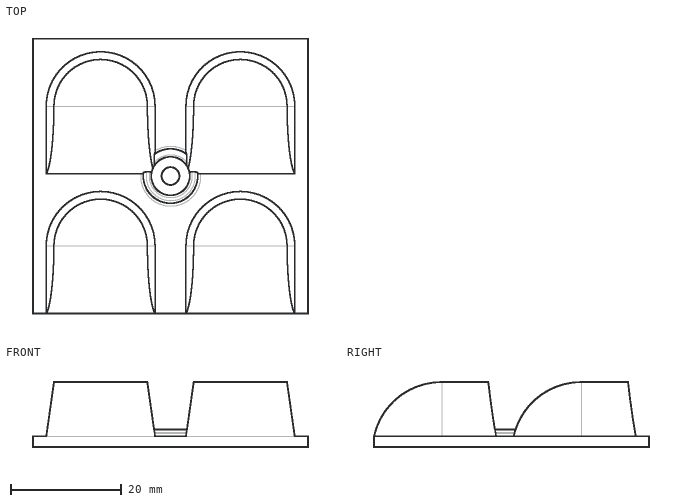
import cadquery as cq
import math

plate_side = 50.0
plate_thickness = 2.0
total_height = 11.85

block_pitch = 25.4
block_base_radius = 9.9
block_top_radius = 8.5
block_front_length = 12.3
block_height = total_height - plate_thickness

collar_outer_radius = 4.95
collar_inner_radius = 3.5
collar_height = 1.25
collar_round = 0.5
collar_inner_round = 0.4
hole_diameter = 3.2


def make_rounded_back():
    """Tapered round end of a block, kept only on the +Y side of its axis."""
    cone = (
        cq.Workplane("XY")
        .circle(block_base_radius)
        .workplane(offset=block_height)
        .circle(block_top_radius)
        .loft(ruled=True)
    )
    keep = cq.Workplane("XY").box(
        2 * block_base_radius, block_base_radius, block_height, centered=(True, False, False)
    )
    return cone.intersect(keep)


def make_curved_front():
    """Drafted front of a block whose top curves down to the plate on the -Y side."""
    drafted_sides = (
        cq.Workplane("XZ")
        .polyline([
            (-block_base_radius, 0),
            (block_base_radius, 0),
            (block_top_radius, block_height),
            (-block_top_radius, block_height),
        ])
        .close()
        .extrude(block_front_length)
    )

    arc_radius = (block_front_length**2 + block_height**2) / (2 * block_height)
    half_sweep = math.asin(block_front_length / arc_radius) / 2
    arc_middle = (
        -arc_radius * math.sin(half_sweep),
        block_height - arc_radius * (1 - math.cos(half_sweep)),
    )
    side_profile = (
        cq.Workplane("YZ")
        .moveTo(0, 0)
        .lineTo(0, block_height)
        .threePointArc(arc_middle, (-block_front_length, 0))
        .close()
        .extrude(block_base_radius, both=True)
    )
    return drafted_sides.intersect(side_profile)


def make_collar():
    """Ring with a concave foot fillet and rounded outer and inner top edges."""
    arc_inset = collar_round * (1 - math.sqrt(0.5))
    inner_inset = collar_inner_round * (1 - math.sqrt(0.5))
    top_round_start = collar_height - collar_round
    profile = (
        cq.Workplane("XZ")
        .moveTo(collar_inner_radius, 0)
        .lineTo(collar_outer_radius + collar_round, 0)
        .threePointArc(
            (collar_outer_radius + arc_inset, arc_inset),
            (collar_outer_radius, collar_round),
        )
        .lineTo(collar_outer_radius, top_round_start)
        .threePointArc(
            (collar_outer_radius - arc_inset, collar_height - arc_inset),
            (collar_outer_radius - collar_round, collar_height),
        )
        .lineTo(collar_inner_radius + collar_inner_round, collar_height)
        .threePointArc(
            (collar_inner_radius + inner_inset, collar_height - inner_inset),
            (collar_inner_radius, collar_height - collar_inner_round),
        )
        .close()
    )
    ring = profile.revolve(360, (0, 0, 0), (0, 1, 0))
    return ring.union(make_square_edge()).translate((0, 0, plate_thickness))


def make_square_edge():
    """Stretch of the collar between the two rear blocks, where its outer top edge stays sharp."""
    ring = (
        cq.Workplane("XY")
        .circle(collar_outer_radius)
        .circle(collar_inner_radius + collar_inner_round)
        .extrude(collar_height)
    )
    half_width = block_pitch / 2 - (block_base_radius + block_top_radius) / 2
    between_blocks = cq.Workplane("XY").box(
        2 * half_width, collar_outer_radius, collar_height, centered=(True, False, False)
    )
    return ring.intersect(between_blocks)


plate = cq.Workplane("XY").box(plate_side, plate_side, plate_thickness, centered=(True, True, False))
block = make_rounded_back().union(make_curved_front())

result = plate
for x in (-block_pitch / 2, block_pitch / 2):
    for y in (-block_pitch / 2, block_pitch / 2):
        result = result.union(block.translate((x, y, plate_thickness)))

seat_clearance = (
    cq.Workplane("XY", origin=(0, 0, plate_thickness))
    .circle(collar_inner_radius)
    .extrude(block_height)
)
through_hole = cq.Workplane("XY").circle(hole_diameter / 2).extrude(plate_thickness)

result = result.union(make_collar()).cut(seat_clearance).cut(through_hole)